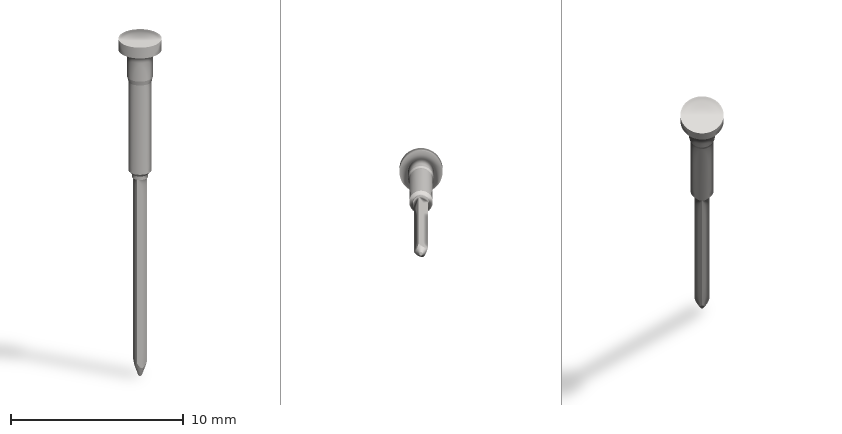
import cadquery as cq
import math

total_length = 21.6

head_diameter = 2.5
collar_diameter = 1.5
body_diameter = 1.35
nose_diameter = 0.95

head_bottom = 0.7
collar_bottom = 2.42
taper_bottom = 2.7
body_bottom = 8.42
nose_bottom = 8.85

shank_width = 0.6
tip_diameter = 0.2
tip_half_angle = 19.5


def turned_section():
    """Head, collar, body and nose as one turned solid."""
    head_radius = head_diameter / 2
    collar_radius = collar_diameter / 2
    body_radius = body_diameter / 2
    nose_radius = nose_diameter / 2

    nose_top = body_bottom + body_radius - nose_radius

    return (
        cq.Workplane("XZ")
        .moveTo(0, total_length)
        .lineTo(head_radius, total_length)
        .lineTo(head_radius, total_length - head_bottom)
        .lineTo(collar_radius, total_length - head_bottom)
        .lineTo(collar_radius, total_length - collar_bottom)
        .lineTo(body_radius, total_length - taper_bottom)
        .lineTo(body_radius, total_length - body_bottom)
        .lineTo(nose_radius, total_length - nose_top)
        .lineTo(nose_radius, total_length - nose_bottom)
        .lineTo(0, total_length - nose_bottom)
        .close()
        .revolve(360, (0, 0, 0), (0, 1, 0))
    )


def pointed_shank():
    """Square shank trimmed at its lower end by a cone."""
    shank_length = total_length - nose_bottom
    shank = cq.Workplane("XY").rect(shank_width, shank_width).extrude(shank_length)

    tip_radius = tip_diameter / 2
    clear_radius = shank_width
    cone_height = (clear_radius - tip_radius) / math.tan(math.radians(tip_half_angle))
    envelope = (
        cq.Workplane("XZ")
        .polyline([
            (0, 0),
            (tip_radius, 0),
            (clear_radius, cone_height),
            (clear_radius, shank_length),
            (0, shank_length),
        ])
        .close()
        .revolve(360, (0, 0, 0), (0, 1, 0))
    )
    return shank.intersect(envelope)


result = turned_section().union(pointed_shank())